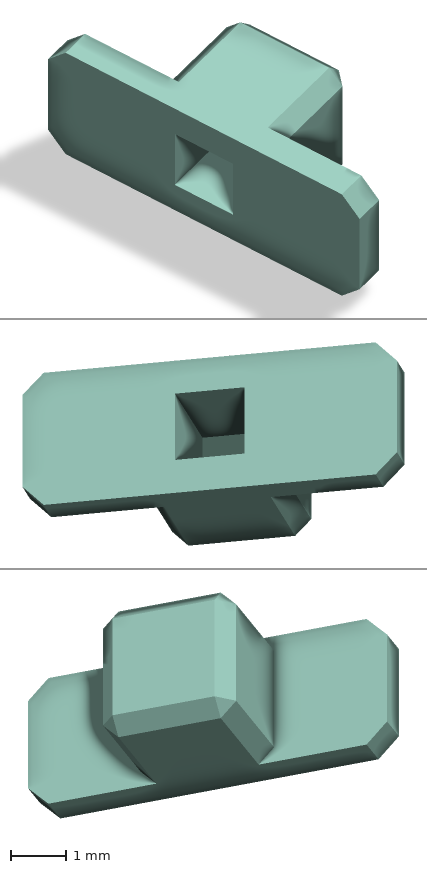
import cadquery as cq

length = 7.0
height = 2.6
flange_thickness = 0.6
flange_corner = 0.4

total_depth = 2.8
stem_width = height
stem_chamfer = 0.3

socket_width = 1.3
socket_depth = total_depth - (stem_width - socket_width) / 2

front_y = -total_depth / 2


def block(width, tall, depth):
    """Box centred in X and Z that extends toward +Y from the front face."""
    return (
        cq.Workplane("XY")
        .box(width, depth, tall, centered=(True, False, True))
        .translate((0, front_y, 0))
    )


flange = block(length, height, flange_thickness).edges("|Y").chamfer(flange_corner)

stem = block(stem_width, height, total_depth).edges("|Y or >Y").chamfer(stem_chamfer)

socket = block(socket_width, socket_width, socket_depth)

result = flange.union(stem).cut(socket)